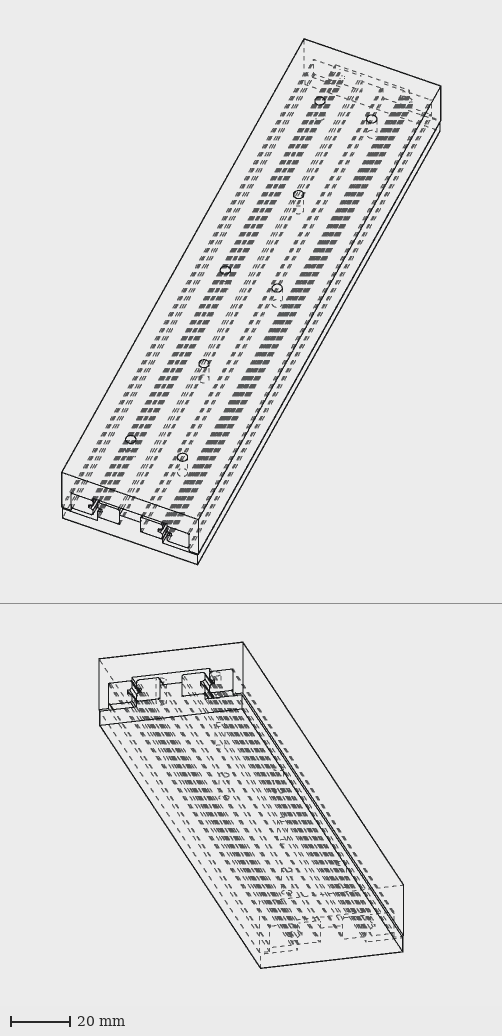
import cadquery as cq

length = 203.3
height = 24.8

carriage_width = 50.5
carriage_bottom = 5.9
cavity_top = 16.5

base_width = 49.8
base_plate_top = 5.3
rib_width = 7.7
rib_top = 12.5

rail_width = 8.1
rail_bottom = 7.3
rail_height = 8.0
rail_gap = 1.6
rail_chamfer = 0.5
groove_mouth = 2.6
groove_depth = 0.8
slit_width = 1.2
slit_depth = 1.6

hole_diameter = 3.5
hole_offset_x = 9.5
hole_pitch_y = 39.6

rail_top = rail_bottom + rail_height
groove_z = rail_bottom + rail_height / 2
inner_rail_face = rib_width / 2 + rail_width
outer_rail_face = inner_rail_face + rail_gap
channel_half_width = outer_rail_face + rail_width


def block(width, bottom, top):
    """Full-length block centred on X and Y between two heights."""
    return (
        cq.Workplane("XY", origin=(0, 0, bottom))
        .rect(width, length)
        .extrude(top - bottom)
    )


def make_carriage():
    """Inverted channel with rail seats, a raised centre cavity and mounting holes."""
    body = block(carriage_width, carriage_bottom, height)
    body = body.cut(block(2 * channel_half_width, carriage_bottom, rail_top))
    body = body.cut(block(2 * outer_rail_face, rail_top, cavity_top))
    hole_points = []
    for row in range(-2, 3):
        row_offsets = (0,) if row % 2 else (-hole_offset_x, hole_offset_x)
        for x in row_offsets:
            hole_points.append((x, row * hole_pitch_y))
    holes = (
        cq.Workplane("XY", origin=(0, 0, cavity_top))
        .pushPoints(hole_points)
        .circle(hole_diameter / 2)
        .extrude(height - cavity_top)
    )
    return body.cut(holes)


def make_base():
    """Flat plate with a pedestal under the inner rails and a rib between them."""
    plate = block(base_width, 0, base_plate_top)
    pedestal = block(2 * inner_rail_face, base_plate_top, rail_bottom)
    rib = block(rib_width, rail_bottom, rib_top)
    return plate.union(pedestal).union(rib)


def make_rail(face_x, back_direction):
    """Rail whose grooved face is at face_x; back_direction (+1 or -1) points to its back."""
    def at(depth, z):
        return (face_x + back_direction * depth, z)

    profile = [
        at(0, rail_bottom + rail_chamfer),
        at(rail_chamfer, rail_bottom),
        at(rail_width - rail_chamfer, rail_bottom),
        at(rail_width, rail_bottom + rail_chamfer),
        at(rail_width, rail_top - rail_chamfer),
        at(rail_width - rail_chamfer, rail_top),
        at(rail_chamfer, rail_top),
        at(0, rail_top - rail_chamfer),
        at(0, groove_z + groove_mouth / 2),
        at(groove_depth, groove_z + slit_width / 2),
        at(slit_depth, groove_z + slit_width / 2),
        at(slit_depth, groove_z - slit_width / 2),
        at(groove_depth, groove_z - slit_width / 2),
        at(0, groove_z - groove_mouth / 2),
    ]
    return cq.Workplane("XZ").polyline(profile).close().extrude(length / 2, both=True)


carriage = make_carriage()
base = make_base()

rails = []
for side in (-1, 1):
    inner_rail = make_rail(side * inner_rail_face, -side)
    outer_rail = make_rail(side * outer_rail_face, side)
    rails += [inner_rail.val(), outer_rail.val()]

result = cq.Compound.makeCompound([carriage.val(), base.val(), *rails])